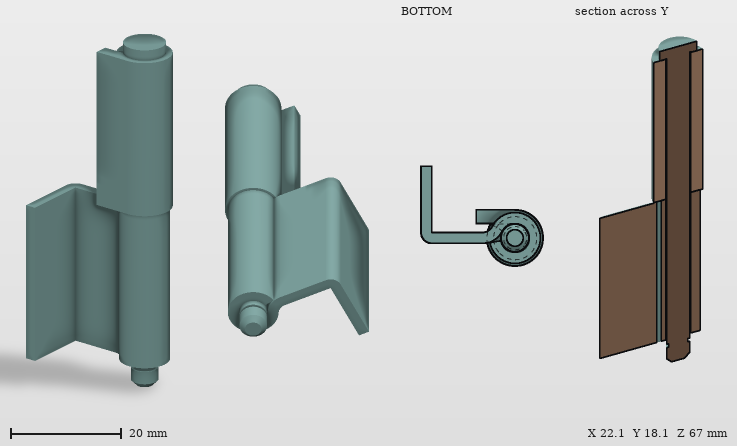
import cadquery as cq
import math


knuckle_length = 30.0
bore_radius = 2.6

upper_thickness = 2.5
upper_outer_radius = bore_radius + upper_thickness
upper_tail_length = 7.0
upper_curl_end_angle = 210.0

lower_thickness = 2.0
lower_outer_radius = bore_radius + lower_thickness
lower_curl_end_angle = 169.0
flange_reach_x = 17.0
flange_reach_y = 13.0
corner_outer_radius = lower_thickness
neck_inner_radius = 2.0
neck_outer_radius = neck_inner_radius + lower_thickness

pin_radius = 2.5
head_radius = 3.9
head_height = 2.0
pin_overhang = 5.0
pin_tip_chamfer = 1.0
groove_radius = 2.1
groove_offset = 1.0
groove_width = 0.6


def polar(radius, angle, center=(0.0, 0.0)):
    """Point at a radius and an angle in degrees around a center."""
    radians = math.radians(angle)
    return (center[0] + radius * math.cos(radians), center[1] + radius * math.sin(radians))


def make_upper_leaf():
    tail_angle = -90.0
    middle_angle = (tail_angle + upper_curl_end_angle) / 2
    return (
        cq.Workplane("XY")
        .moveTo(-upper_tail_length, -upper_outer_radius)
        .lineTo(0, -upper_outer_radius)
        .threePointArc(
            polar(upper_outer_radius, middle_angle),
            polar(upper_outer_radius, upper_curl_end_angle),
        )
        .lineTo(*polar(bore_radius, upper_curl_end_angle))
        .threePointArc(polar(bore_radius, middle_angle), (0, -bore_radius))
        .lineTo(-upper_tail_length, -bore_radius)
        .close()
        .extrude(knuckle_length)
    )


def make_lower_leaf():
    plate_top = lower_thickness / 2
    plate_bottom = -plate_top
    neck_center_y = plate_bottom - neck_inner_radius
    neck_center_distance = lower_outer_radius + neck_inner_radius
    neck_x = -math.sqrt(neck_center_distance**2 - neck_center_y**2)
    neck_center = (neck_x, neck_center_y)

    neck_end_angle = math.degrees(math.atan2(-neck_center_y, -neck_x))
    neck_middle_angle = (90.0 + neck_end_angle) / 2
    curl_start_angle = neck_end_angle - 180.0
    curl_middle_angle = (curl_start_angle + lower_curl_end_angle) / 2

    flange_outer_x = -flange_reach_x
    flange_inner_x = flange_outer_x + lower_thickness
    corner_center = (flange_outer_x + corner_outer_radius, plate_top - corner_outer_radius)

    return (
        cq.Workplane("XY")
        .workplane(offset=-knuckle_length)
        .moveTo(flange_outer_x, -flange_reach_y)
        .lineTo(flange_outer_x, corner_center[1])
        .threePointArc(
            polar(corner_outer_radius, 135.0, corner_center),
            (corner_center[0], plate_top),
        )
        .lineTo(neck_x, plate_top)
        .threePointArc(
            polar(neck_outer_radius, neck_middle_angle, neck_center),
            polar(bore_radius, curl_start_angle),
        )
        .threePointArc(
            polar(bore_radius, curl_middle_angle),
            polar(bore_radius, lower_curl_end_angle),
        )
        .lineTo(*polar(lower_outer_radius, lower_curl_end_angle))
        .threePointArc(
            polar(lower_outer_radius, curl_middle_angle),
            polar(lower_outer_radius, curl_start_angle),
        )
        .threePointArc(
            polar(neck_inner_radius, neck_middle_angle, neck_center),
            (neck_x, plate_bottom),
        )
        .lineTo(flange_inner_x, plate_bottom)
        .lineTo(flange_inner_x, -flange_reach_y)
        .close()
        .extrude(knuckle_length)
    )


def make_pin():
    tip_z = -knuckle_length - pin_overhang
    groove_top = -knuckle_length - groove_offset
    groove_bottom = groove_top - groove_width
    head_top = knuckle_length + head_height
    return (
        cq.Workplane("XZ")
        .moveTo(0, tip_z)
        .lineTo(pin_radius - pin_tip_chamfer, tip_z)
        .lineTo(pin_radius, tip_z + pin_tip_chamfer)
        .lineTo(pin_radius, groove_bottom)
        .lineTo(groove_radius, groove_bottom)
        .lineTo(groove_radius, groove_top)
        .lineTo(pin_radius, groove_top)
        .lineTo(pin_radius, knuckle_length)
        .lineTo(head_radius, knuckle_length)
        .lineTo(head_radius, head_top)
        .lineTo(0, head_top)
        .close()
        .revolve(360, (0, 0, 0), (0, 1, 0))
    )


upper_leaf = make_upper_leaf()
lower_leaf = make_lower_leaf()
pin = make_pin()

result = cq.Compound.makeCompound([upper_leaf.val(), lower_leaf.val(), pin.val()])